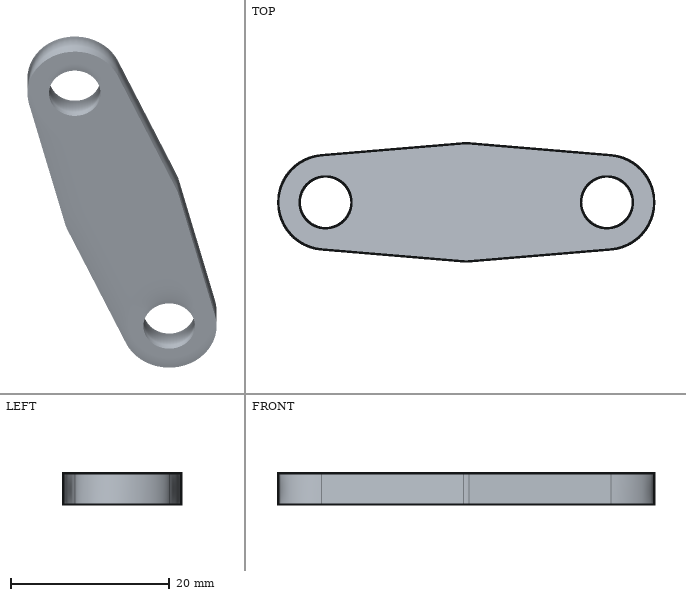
import cadquery as cq
import math

length = 47.5
width = 14.95
thickness = 4.0
end_radius = 6.0
crest_radius = 4.28
hole_diameter = 6.5

half_length = length / 2
half_width = width / 2
hole_offset = half_length - end_radius
crest_center_y = half_width - crest_radius

center_distance = math.hypot(hole_offset, crest_center_y)
center_line_angle = math.atan2(crest_center_y, hole_offset)
slope = center_line_angle + math.asin((crest_radius - end_radius) / center_distance)

crest_x = crest_radius * math.sin(slope)
crest_y = crest_center_y + crest_radius * math.cos(slope)
end_x = hole_offset + end_radius * math.sin(slope)
end_y = end_radius * math.cos(slope)

plate = (
    cq.Workplane("XY")
    .moveTo(-crest_x, crest_y)
    .threePointArc((0, half_width), (crest_x, crest_y))
    .lineTo(end_x, end_y)
    .threePointArc((half_length, 0), (end_x, -end_y))
    .lineTo(crest_x, -crest_y)
    .threePointArc((0, -half_width), (-crest_x, -crest_y))
    .lineTo(-end_x, -end_y)
    .threePointArc((-half_length, 0), (-end_x, end_y))
    .close()
    .extrude(thickness)
)

result = (
    plate.faces(">Z")
    .workplane(origin=(0, 0, thickness))
    .pushPoints([(-hole_offset, 0), (hole_offset, 0)])
    .hole(hole_diameter)
)